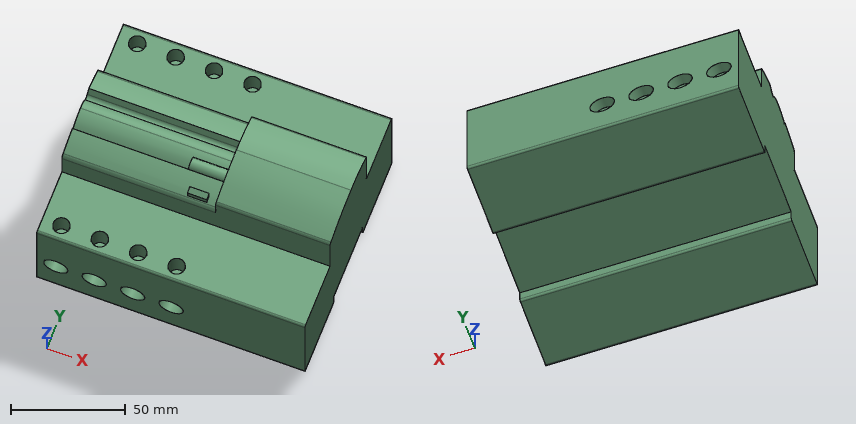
import cadquery as cq
import math

length = 125.1
depth = 106.0
shoulder_height = 50.0
cover_height = 78.8
breaker_length = 71.7
edge_radius = 1.0

rail_width = 35.0
rail_center_y = -0.1
rail_recess = 6.4

neck_half_width = 22.3
panel_corner_radius = 2.5
dome_crest_y = 3.1
dome_front_radius = 70.0
dome_back_radius = 42.5
dome_corner_radius = 1.6

front_wall_top = (-neck_half_width, 66.3)
front_panel_middle = (-15.8, 68.8)
ridge_crest = (-9.5, 70.2)
ridge_foot_y = -8.9
rib_crest = (0.3, 71.4)
rib_front_radius = 16.3
rib_back_radius = 6.6
groove_front = (6.1, 67.7)
groove_bottom = (7.1, 67.7)
groove_back = (8.5, 68.5)
groove_lip = (10.5, 70.8)
back_panel_middle = (16.4, 69.0)
back_wall_top = (neck_half_width, 66.4)

lever_length = 17.3
lever_back = (-4.0, 71.7)
lever_crown = (-6.9, 74.3)
lever_tip = (-10.5, 72.5)
lever_root_front = (-8.3, 68.2)
lever_root_back = (-4.0, 68.2)

nub_start = 57.8
nub_length = 9.0
nub_front = -20.1
nub_back = -17.4
nub_front_height = 70.2
nub_back_height = 71.3
nub_root = 65.0

pole_count = 4
pole_pitch = breaker_length / pole_count
screw_diameter = 7.5
screw_offset = 46.2
screw_depth = 12.5
wire_diameter = 11.3
wire_height = 19.6
wire_depth = 5.0


def crowned_point(crest, radius, run):
    """Point at a signed run in Y from the level crest of an arc."""
    drop = radius - math.sqrt(radius**2 - run**2)
    return (crest[0] + run, crest[1] - drop)


def round_upper_corners(module, radius):
    """Round the two edges where the top of a module meets its front and back walls."""
    above_shoulder = cq.selectors.BoxSelector(
        (0, -depth, shoulder_height),
        (length, depth, cover_height),
    )
    return module.faces("<Y or >Y").edges("|X").edges(above_shoulder).fillet(radius)


def make_base():
    base = cq.Workplane("XY").box(length, depth, shoulder_height, centered=(False, True, False))
    recess = (
        cq.Workplane("XY")
        .box(length, rail_width, rail_recess, centered=(False, True, False))
        .translate((0, rail_center_y, 0))
    )
    base = base.cut(recess)
    base = base.faces("<Z").edges("|X").fillet(edge_radius)
    return base.faces(">Z").edges("|X").fillet(edge_radius)


def make_cover():
    """Tall module whose dome is two arcs meeting level at the crest."""
    crest = (dome_crest_y, cover_height)
    back_run = neck_half_width - dome_crest_y
    front_run = -neck_half_width - dome_crest_y
    cover = (
        cq.Workplane("YZ", origin=(breaker_length, 0, 0))
        .moveTo(neck_half_width, rail_recess)
        .lineTo(*crowned_point(crest, dome_back_radius, back_run))
        .threePointArc(crowned_point(crest, dome_back_radius, back_run / 2), crest)
        .threePointArc(
            crowned_point(crest, dome_front_radius, front_run / 2),
            crowned_point(crest, dome_front_radius, front_run),
        )
        .lineTo(-neck_half_width, rail_recess)
        .close()
        .extrude(length - breaker_length)
    )
    return round_upper_corners(cover, dome_corner_radius)


def make_breaker():
    """Low module with a sloped front panel, a ridge, a rib, a groove and a back panel."""
    front_run = ridge_foot_y - rib_crest[0]
    back_run = groove_front[0] - rib_crest[0]
    breaker = (
        cq.Workplane("YZ")
        .moveTo(-neck_half_width, rail_recess)
        .lineTo(*front_wall_top)
        .threePointArc(front_panel_middle, ridge_crest)
        .lineTo(*crowned_point(rib_crest, rib_front_radius, front_run))
        .threePointArc(crowned_point(rib_crest, rib_front_radius, front_run / 2), rib_crest)
        .threePointArc(crowned_point(rib_crest, rib_back_radius, back_run / 2), groove_front)
        .threePointArc(groove_bottom, groove_back)
        .lineTo(*groove_lip)
        .threePointArc(back_panel_middle, back_wall_top)
        .lineTo(neck_half_width, rail_recess)
        .close()
        .extrude(breaker_length)
    )
    return round_upper_corners(breaker, panel_corner_radius)


def make_lever():
    return (
        cq.Workplane("YZ", origin=(breaker_length - lever_length, 0, 0))
        .moveTo(*lever_root_back)
        .lineTo(*lever_back)
        .threePointArc(lever_crown, lever_tip)
        .lineTo(*lever_root_front)
        .close()
        .extrude(lever_length)
    )


def make_nub():
    return (
        cq.Workplane("YZ", origin=(nub_start, 0, 0))
        .moveTo(nub_front, nub_root)
        .lineTo(nub_front, nub_front_height)
        .lineTo(nub_back, nub_back_height)
        .lineTo(nub_back, nub_root)
        .close()
        .extrude(nub_length)
    )


def make_terminal_holes():
    holes = cq.Workplane("XY")
    for pole in range(pole_count):
        x = (pole + 0.5) * pole_pitch
        for side in (-1, 1):
            screw = cq.Solid.makeCylinder(
                screw_diameter / 2,
                screw_depth,
                cq.Vector(x, side * screw_offset, shoulder_height),
                cq.Vector(0, 0, -1),
            )
            wire = cq.Solid.makeCylinder(
                wire_diameter / 2,
                wire_depth,
                cq.Vector(x, side * depth / 2, wire_height),
                cq.Vector(0, -side, 0),
            )
            holes = holes.add(screw).add(wire)
    return holes.combine()


body = make_base()
for module in (make_cover(), make_breaker(), make_lever(), make_nub()):
    body = body.union(module)

result = body.cut(make_terminal_holes())